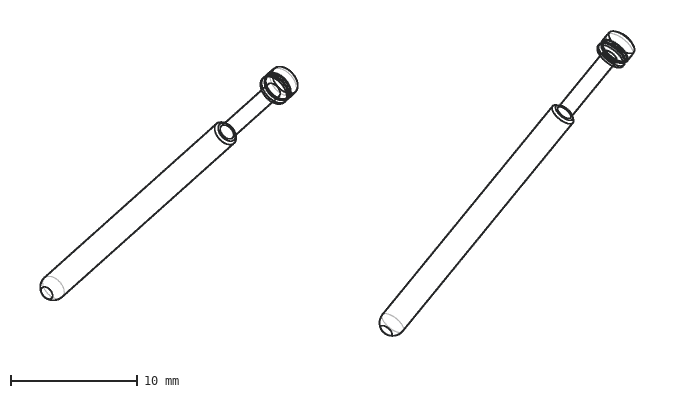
import cadquery as cq
import math

length = 33.1

head_radius = 1.275
shoulder_radius = 1.24
groove_radius = 1.15
dome_height = 0.43
shoulder_length = 0.3
rim_length = 0.7
groove_length = 0.2
groove_flare = 0.2
collar_length = 0.2

rod_radius = 0.645
rod_length = 6.4
barrel_radius = 1.043
barrel_chamfer = 0.2
tip_flat_radius = 0.55

y_crown = length / 2
y_dome = y_crown - dome_height
y_shoulder = y_dome - shoulder_length
y_rim = y_shoulder - rim_length
y_groove = y_rim - groove_length
y_flare = y_groove - groove_flare
y_head_end = y_flare - collar_length
y_barrel = y_head_end - rod_length
y_tip = -length / 2

dome_radius = (shoulder_radius**2 + dome_height**2) / (2 * dome_height)
dome_half_angle = math.asin(shoulder_radius / dome_radius) / 2
dome_mid = (
    dome_radius * math.sin(dome_half_angle),
    y_crown - dome_radius * (1 - math.cos(dome_half_angle)),
)

tip_angle = math.acos(tip_flat_radius / barrel_radius)
y_tip_center = y_tip + barrel_radius * math.sin(tip_angle)
tip_mid = (
    barrel_radius * math.cos(tip_angle / 2),
    y_tip_center - barrel_radius * math.sin(tip_angle / 2),
)

profile = (
    cq.Workplane("XY")
    .moveTo(0, y_crown)
    .threePointArc(dome_mid, (shoulder_radius, y_dome))
    .lineTo(head_radius, y_shoulder)
    .lineTo(head_radius, y_rim)
    .lineTo(groove_radius, y_rim)
    .lineTo(groove_radius, y_groove)
    .lineTo(head_radius, y_flare)
    .lineTo(head_radius, y_head_end)
    .lineTo(rod_radius, y_head_end)
    .lineTo(rod_radius, y_barrel)
    .lineTo(barrel_radius - barrel_chamfer, y_barrel)
    .lineTo(barrel_radius, y_barrel - barrel_chamfer)
    .lineTo(barrel_radius, y_tip_center)
    .threePointArc(tip_mid, (tip_flat_radius, y_tip))
    .lineTo(0, y_tip)
    .close()
)

result = profile.revolve(360, (0, 0, 0), (0, 1, 0))